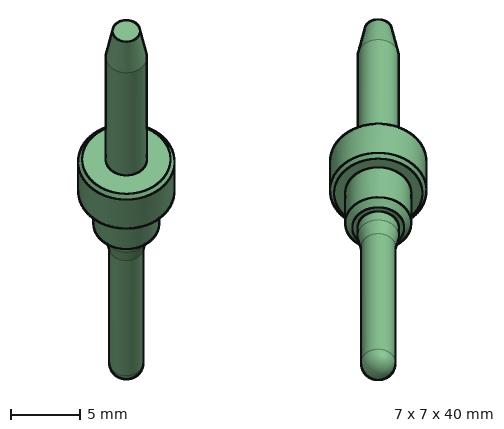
import cadquery as cq
import math

total_length = 40.0
shank_diameter = 3.0
lower_diameter = 2.5
top_diameter = 2.0
top_taper_length = 3.0
lower_taper_start = 14.7
lower_taper_end = 16.0

collar_diameter = 7.0
collar_height = 4.0
collar_chamfer = 0.3
neck_diameter = 4.8
neck_height = 4.0
neck_chamfer = 0.5
sleeve_bottom = 17.0
sleeve_height = neck_height + collar_height


def make_pin():
    """Revolved contact with a hemispherical lower tip and a tapered top."""
    shank_radius = shank_diameter / 2
    tip_radius = lower_diameter / 2
    dome_mid = tip_radius * math.sqrt(0.5)
    return (
        cq.Workplane("XZ")
        .moveTo(0, 0)
        .threePointArc((dome_mid, tip_radius - dome_mid), (tip_radius, tip_radius))
        .lineTo(tip_radius, lower_taper_start)
        .lineTo(shank_radius, lower_taper_end)
        .lineTo(shank_radius, total_length - top_taper_length)
        .lineTo(top_diameter / 2, total_length)
        .lineTo(0, total_length)
        .close()
        .revolve(360, (0, 0, 0), (0, 1, 0))
    )


def make_sleeve():
    """Chamfered collar on a narrower neck, bored through for the shank."""
    neck = (
        cq.Workplane("XY", origin=(0, 0, sleeve_bottom))
        .circle(neck_diameter / 2)
        .extrude(neck_height)
        .faces("<Z")
        .chamfer(neck_chamfer)
    )
    collar = (
        cq.Workplane("XY", origin=(0, 0, sleeve_bottom + neck_height))
        .circle(collar_diameter / 2)
        .extrude(collar_height)
        .faces("<Z or >Z")
        .chamfer(collar_chamfer)
    )
    bore = (
        cq.Workplane("XY", origin=(0, 0, sleeve_bottom))
        .circle(shank_diameter / 2)
        .extrude(sleeve_height)
    )
    return neck.union(collar).cut(bore)


pin = make_pin()
sleeve = make_sleeve()

result = cq.Compound.makeCompound([pin.val(), sleeve.val()])